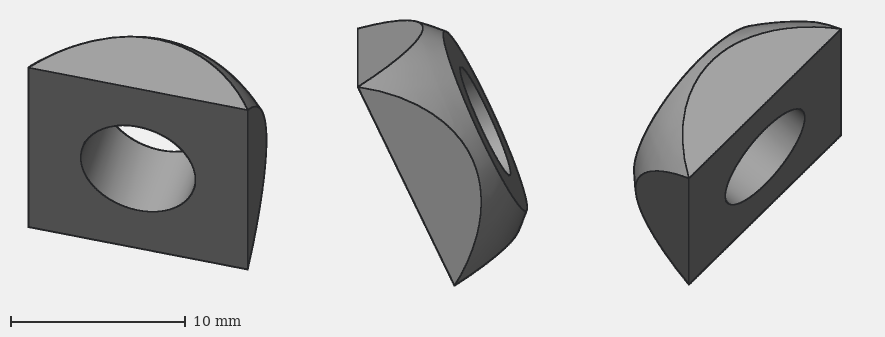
import cadquery as cq
import math

side = 13.0
thickness = 5.0
hole_diameter = 6.8
back_radius = 5.65
crown_radius = 16.9

corner_radius = side / math.sqrt(2)


def square_block():
    """Square plate with its front face on the XZ plane, thickness along +Y."""
    return cq.Workplane("XY").box(side, thickness, side, centered=(True, False, True))


def crowned_envelope():
    """Solid of revolution about Y with a convex flank and a flat back."""
    return (
        cq.Workplane("XY")
        .lineTo(corner_radius, 0)
        .radiusArc((back_radius, thickness), -crown_radius)
        .lineTo(0, thickness)
        .close()
        .revolve(360, (0, 0, 0), (0, 1, 0))
    )


def through_hole():
    """Round hole along Y through the full thickness."""
    return cq.Workplane("XZ").circle(hole_diameter / 2).extrude(-thickness)


result = square_block().intersect(crowned_envelope()).cut(through_hole())